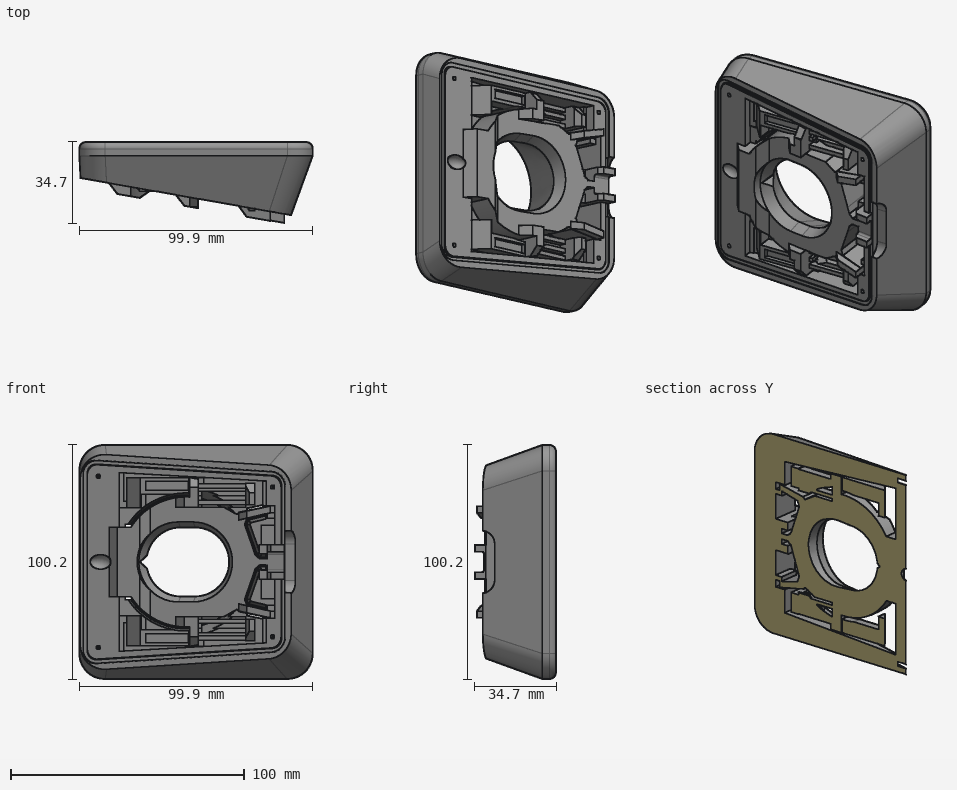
import cadquery as cq
import math

WIDTH = 99.89
HEIGHT = 100.18
TILT = math.radians(10)
SIDE_DRAFT = math.radians(20)
LEFT_DRAFT = math.radians(3)
BACK_FILLET = 3.0
BAND_DEPTH = 5.85
CORNER_RADIUS = 11.0
FACE_MID_Y = -24.2
HOOK_RISE = 4.0
FAR_Y = -45.0
FRONT_CORNER_RADIUS = 9.5

RIM_WIDTH = 2.8
RIM_WIDTH_LEFT = 1.2
GROOVE_WIDTH = 1.8
GROOVE_DEPTH = 0.8
GROOVE_RADIUS = 6.0
GROOVE_RADIUS_LEFT = 6.0

FLOOR_Y = -14.0
POCKET_LEFT = -32.9
POCKET_RIGHT = 30.0
POCKET_TOP_LEFT = 38.2
POCKET_TOP_RIGHT = 34.6
BAY_RIGHT = 33.7
BAY_TOP = 24.0

RING_X = -4.3
RING_RADIUS = 27.9
RING_FLAT = 23.4
RING_FLAT_END = 12.0
BORE_RADIUS = 17.1
BORE_STRAIGHT = 6.4
BORE_LIP_RADIUS = 14.7
BORE_LIP_DEPTH = 5.4
BORE_BACK_RADIUS = 22.0
BORE_X = -4.45
NOTCH_POINT = -24.0
NOTCH_HALF = 3.6
NOTCH_LENGTH = 4.0

SLIT = 0.6
SLIT_FLARE = 6.0

BLOCK_LEFT, BLOCK_TOP_LEFT, BLOCK_TOP_RIGHT, BLOCK_RIGHT = -37.2, -33.6, -24.1, -19.5
BLOCK_HALF = 14.9
ARM_RAMP_LEFT, ARM_RAMP_RIGHT = -8.6, -5.0
ARM_LEFT, ARM_RIGHT = -2.7, 0.9
ARM_END = 36.0
FINGER_RAMP_LEFT, FINGER_RAMP_RIGHT, FINGER_END = 18.2, 21.6, 31.8
NECK_HALF = 1.4

FINGER_LOW, FINGER_TOP = 21.0, 23.9
FINGER_ROOT_LOW, FINGER_ROOT_TOP = 17.9, 21.0

FINGER_OUTLINE = [(17.5, 20.3), (18.5, 21.3), (FINGER_END, FINGER_TOP), (FINGER_END, FINGER_LOW)]
BAY_EDGE = [(21.8, 18.5), (20.9, 16.0), (24.4, 6.0), (25.4, 3.0), (27.3, NECK_HALF)]
FINGER_SLIT = [(21.8, 22.0), (28.6, 23.3), (28.6, 24.3), (21.8, 22.9)]
ARC_SLIT_END, ARC_SLIT_START = -30.2, -27.0
BAY_SLIT_END = 29.8

FORK_LEFT, FORK_TOP_LEFT, FORK_RIGHT = 30.4, 32.0, 37.75
FORK_OUTER_HALF, FORK_INNER_HALF = 7.3, 4.35
FORK_STEP_RISE, FORK_RISE = 1.85, 3.79
FORK_FILLET = 1.0

NOTCH_FLOOR_Y = -26.3
RIM_NOTCH_LEFT = 37.9
RIM_NOTCH_HALF = 13.3
RIM_NOTCH_FILLET = 5.5

DECK_Y = -21.2
DECK_RAMP_LEFT, DECK_RAMP_RIGHT, DECK_RIGHT = -29.6, -23.9, -3.2
DECK_INNER_LEFT = -23.4
DECK_LOW, DECK_MID, DECK_TOP = 23.1, 29.0, 35.9
DECK_CLEARANCE_RADIUS = 29.5
SLOT_LEFT, SLOT_RIGHT, SLOT_LOW, SLOT_TOP = -21.4, -3.4, 30.6, 34.6
SLOT_DEPTH = 2.0
LEDGE_Y = -14.6
LEDGE_WIDTH = 2.0
LEDGE_CORNER = 26.0

RAIL_RIGHT = 21.2
RAIL_BASE_Y = -18.0
CORNER_PAD_RIGHT = 3.4
RAILS = [(24.4, 26.3), (28.4, 30.2), (31.6, 33.4)]
POST_LEFT, POST_TOP_LEFT, POST_RIGHT = 21.2, 22.8, 25.2
POST_LOW, POST_RIDGE, POST_TOP = 24.4, 29.6, 33.6
POST_SHOULDER_Y, POST_TIP_Y = -26.5, -29.4
STEP_LEFT, STEP_Y = 28.6, -25.0
STOP_LEFT, STOP_LOW, STOP_Y = 30.4, 18.6, -27.0
SHELF_LEFT, SHELF_LOW, SHELF_Y = 27.0, 3.4, -24.0
WELL_LEFT, WELL_TOP, WELL_Y = 27.9, 15.7, -8.0

HOLLOW_LEFT, HOLLOW_RADIUS, HOLLOW_Y = 2.5, 31.6, -8.0

HOLES = [(-41.8, 36.6), (32.7, 32.0)]
HOLE_DIAMETER = 1.6
HOLE_DEPTH = 5.0
DIMPLE_X, DIMPLE_HALF_LENGTH, DIMPLE_RADIUS = -40.8, 4.5, 3.1


def face_y(x, rise=0.0):
    """Y of the tilted front face at x, lifted by rise along its normal."""
    return FACE_MID_Y - x * math.tan(TILT) - rise / math.cos(TILT)


def tilted_plane(x):
    """Plane on the front face at x; its normal points out of the face."""
    along = (math.cos(TILT), -math.sin(TILT), 0)
    outward = (-math.sin(TILT), -math.cos(TILT), 0)
    return cq.Workplane(cq.Plane((x, face_y(x), 0), along, outward))


def prism_y(points, y_front, y_back):
    """Polygon in X, Z swept along Y."""
    plane = cq.Workplane("XZ", origin=(0, y_back, 0))
    return plane.polyline(points).close().extrude(y_back - y_front)


def prism_z(points, z_low, z_high):
    """Polygon in X, Y swept along Z."""
    plane = cq.Workplane("XY", origin=(0, 0, z_low))
    return plane.polyline(points).close().extrude(z_high - z_low)


def box(x0, x1, z0, z1, y_front, y_back):
    return prism_y([(x0, z0), (x1, z0), (x1, z1), (x0, z1)], y_front, y_back)


def both_sides(solid):
    """The solid together with its mirror image across Z = 0."""
    return solid.union(solid.mirror("XY"))


def rounded_outline(plane, x0, x1, half_z, r_left, r_right):
    """Closed outline, symmetric in Z, with its own corner radii at each end."""
    k = 1 - math.sqrt(0.5)
    return (
        plane.moveTo(x0 + r_left, -half_z)
        .lineTo(x1 - r_right, -half_z)
        .threePointArc((x1 - k * r_right, -half_z + k * r_right), (x1, -half_z + r_right))
        .lineTo(x1, half_z - r_right)
        .threePointArc((x1 - k * r_right, half_z - k * r_right), (x1 - r_right, half_z))
        .lineTo(x0 + r_left, half_z)
        .threePointArc((x0 + k * r_left, half_z - k * r_left), (x0, half_z - r_left))
        .lineTo(x0, -half_z + r_left)
        .threePointArc((x0 + k * r_left, -half_z + k * r_left), (x0 + r_left, -half_z))
        .close()
    )


def flank_solid(inset, inset_left, r_left, r_back, r_far):
    """Drafted solid between the band and FAR_Y, inset from the flanks; +X radius goes r_back to r_far."""
    depth = -BAND_DEPTH - FAR_Y
    x0 = -WIDTH / 2 + inset_left
    x1 = WIDTH / 2 - inset
    half_z = HEIGHT / 2 - inset
    lean = depth * math.tan(SIDE_DRAFT)
    base = cq.Workplane("XZ", origin=(0, -BAND_DEPTH, 0))
    base = rounded_outline(base, x0, x1, half_z, r_left, r_back)
    far = base.workplane(offset=depth)
    far_x0 = x0 + depth * math.tan(LEFT_DRAFT)
    far = rounded_outline(far, far_x0, x1 - lean, half_z - lean, r_left, r_far)
    return far.loft(ruled=True, combine=True)


def below_face(rise=0.0):
    """Everything behind the front face lifted by rise."""
    x = WIDTH
    points = [(-x, 0), (x, 0), (x, face_y(x, rise)), (-x, face_y(-x, rise))]
    return prism_z(points, -HEIGHT, HEIGHT)


def make_hull():
    band = cq.Workplane("XZ")
    band = rounded_outline(band, -WIDTH / 2, WIDTH / 2, HEIGHT / 2, CORNER_RADIUS, CORNER_RADIUS)
    band = band.extrude(BAND_DEPTH).faces(">Y").edges().fillet(BACK_FILLET)
    flanks = flank_solid(0, 0, CORNER_RADIUS, CORNER_RADIUS, FRONT_CORNER_RADIUS)
    return band.union(flanks.intersect(below_face()))


def make_groove():
    outer = flank_solid(RIM_WIDTH, RIM_WIDTH_LEFT, GROOVE_RADIUS_LEFT, GROOVE_RADIUS, GROOVE_RADIUS)
    inner = flank_solid(
        RIM_WIDTH + GROOVE_WIDTH,
        RIM_WIDTH_LEFT + GROOVE_WIDTH,
        GROOVE_RADIUS_LEFT - GROOVE_WIDTH,
        GROOVE_RADIUS - GROOVE_WIDTH,
        GROOVE_RADIUS - GROOVE_WIDTH,
    )
    return outer.cut(inner).cut(below_face(-GROOVE_DEPTH))


def make_pocket():
    pocket = prism_y(
        [
            (POCKET_LEFT, -POCKET_TOP_LEFT),
            (POCKET_RIGHT, -POCKET_TOP_RIGHT),
            (POCKET_RIGHT, POCKET_TOP_RIGHT),
            (POCKET_LEFT, POCKET_TOP_LEFT),
        ],
        FAR_Y,
        FLOOR_Y,
    )
    return pocket.union(box(0, BAY_RIGHT, -BAY_TOP, BAY_TOP, FAR_Y, FLOOR_Y))


def make_ring():
    """Ring, its left block, arms, fingers and neck, as a prism through the pocket."""
    arc_start_x = RING_X - math.sqrt(RING_RADIUS**2 - BLOCK_HALF**2)
    arc_end_z = math.sqrt(RING_RADIUS**2 - (ARM_LEFT - RING_X) ** 2)
    arc_mid = (RING_X - RING_RADIUS * math.sqrt(0.5), RING_RADIUS * math.sqrt(0.5))
    half = (
        cq.Workplane("XZ")
        .moveTo(BLOCK_LEFT, 0)
        .lineTo(BLOCK_LEFT, BLOCK_HALF)
        .lineTo(arc_start_x, BLOCK_HALF)
        .threePointArc(arc_mid, (ARM_LEFT, arc_end_z))
        .lineTo(ARM_LEFT, ARM_END)
        .lineTo(ARM_RIGHT, ARM_END)
        .lineTo(ARM_RIGHT, RING_FLAT)
        .lineTo(RING_FLAT_END, RING_FLAT)
    )
    for x, z in FINGER_OUTLINE + BAY_EDGE:
        half = half.lineTo(x, z)
    half = half.lineTo(FORK_LEFT, NECK_HALF).lineTo(FORK_LEFT, 0).close()
    return both_sides(half.extrude(-FAR_Y))


def raised_profile(x_foot, x_top, x_top_end, x_end):
    """Ramp up to hook height and back down, bedded in the face and swept along Z."""
    points = [
        (x_foot, face_y(x_foot, -HOOK_RISE)),
        (x_foot, face_y(x_foot)),
        (x_top, face_y(x_top, HOOK_RISE)),
        (x_top_end, face_y(x_top_end, HOOK_RISE)),
        (x_end, face_y(x_end)),
        (x_end, face_y(x_end, -HOOK_RISE)),
    ]
    return prism_z(points, -HEIGHT, HEIGHT)


def make_left_block(ring):
    profile = raised_profile(BLOCK_LEFT, BLOCK_TOP_LEFT, BLOCK_TOP_RIGHT, BLOCK_RIGHT)
    return profile.intersect(ring)


def roof(z_ridge, z_foot, tip):
    """Wedge that trims material sloping at 45 degrees from tip at z_ridge down to z_foot."""
    drop = z_foot - z_ridge
    plane = cq.Workplane("YZ", origin=(-WIDTH, 0, 0))
    points = [(tip, z_ridge), (FAR_Y, z_ridge), (FAR_Y, z_foot), (tip + drop, z_foot)]
    return plane.polyline(points).close().extrude(2 * WIDTH)


def make_arm_hook(ring):
    profile = raised_profile(ARM_RAMP_LEFT, ARM_RAMP_RIGHT, ARM_RIGHT, ARM_RIGHT)
    area = box(ARM_RAMP_LEFT, ARM_RIGHT, RING_FLAT, ARM_END, FAR_Y, FLOOR_Y)
    tip = face_y(ARM_LEFT, HOOK_RISE)
    return profile.intersect(ring).intersect(area).cut(roof(ARM_END - HOOK_RISE, ARM_END, tip))


def make_finger_hook():
    profile = raised_profile(FINGER_RAMP_LEFT, FINGER_RAMP_RIGHT, FINGER_END, FINGER_END)
    band = [
        (FINGER_RAMP_LEFT, FINGER_ROOT_LOW),
        (FINGER_END, FINGER_LOW),
        (FINGER_END, FINGER_TOP),
        (FINGER_RAMP_LEFT, FINGER_ROOT_TOP),
    ]
    return profile.intersect(prism_y(band, FAR_Y, FLOOR_Y))


def make_fork():
    base = box(FORK_LEFT, FORK_RIGHT, -FORK_OUTER_HALF, FORK_OUTER_HALF, FAR_Y, FLOOR_Y)
    prong_points = [
        (FORK_LEFT, FLOOR_Y),
        (FORK_LEFT, face_y(FORK_LEFT, FORK_STEP_RISE)),
        (FORK_TOP_LEFT, face_y(FORK_TOP_LEFT, FORK_RISE)),
        (FORK_RIGHT, face_y(FORK_RIGHT, FORK_RISE)),
        (FORK_RIGHT, FLOOR_Y),
    ]
    fork = base.intersect(prism_z(prong_points, -FORK_OUTER_HALF, FORK_OUTER_HALF))
    gap = tilted_plane(FORK_LEFT).box(
        4 * FORK_RIGHT, 2 * FORK_INNER_HALF, 2 * HOOK_RISE, centered=(True, True, False)
    )
    along = gap.plane.xDir
    return fork.cut(gap.edges(cq.selectors.ParallelDirSelector(along)).fillet(FORK_FILLET))


def make_deck():
    """Ramped deck, slotted, with its L-shaped ledge, on the +Z side."""
    ramp = [
        (DECK_RAMP_LEFT, FLOOR_Y),
        (DECK_RAMP_RIGHT, DECK_Y),
        (DECK_RIGHT, DECK_Y),
        (DECK_RIGHT, FLOOR_Y),
    ]
    deck = prism_z(ramp, DECK_LOW, DECK_TOP)
    deck = deck.cut(box(DECK_INNER_LEFT, DECK_RIGHT, DECK_LOW, DECK_MID, FAR_Y, FLOOR_Y))
    deck = deck.cut(box(SLOT_LEFT, SLOT_RIGHT, SLOT_LOW, SLOT_TOP, FAR_Y, DECK_Y + SLOT_DEPTH))
    ledge_right = POCKET_LEFT + LEDGE_WIDTH
    deck = deck.union(box(POCKET_LEFT, ledge_right, DECK_LOW, POCKET_TOP_LEFT, LEDGE_Y, FLOOR_Y))
    deck = deck.union(box(POCKET_LEFT, DECK_RAMP_LEFT, DECK_LOW, LEDGE_CORNER, LEDGE_Y, FLOOR_Y))
    deck = deck.union(box(DECK_INNER_LEFT, SLOT_LEFT, DECK_LOW, DECK_MID, LEDGE_Y, FLOOR_Y))
    clearance = cq.Workplane("XZ").center(RING_X, 0).circle(DECK_CLEARANCE_RADIUS).extrude(-FAR_Y)
    return deck.cut(clearance)


def make_rails():
    """Rails, post, step, shelf and finger stop on the +Z side of the +X half of the pocket."""
    solid = box(ARM_RIGHT, RAIL_RIGHT, RING_FLAT, RAILS[-1][1], RAIL_BASE_Y, FLOOR_Y)
    solid = solid.union(box(ARM_RIGHT, CORNER_PAD_RIGHT, RING_FLAT, ARM_END, RAIL_BASE_Y, FLOOR_Y))
    solid = solid.union(box(STEP_LEFT, POCKET_RIGHT, BAY_TOP, POCKET_TOP_RIGHT, STEP_Y, FLOOR_Y))
    for z_low, z_high in RAILS:
        solid = solid.union(box(ARM_RIGHT, RAIL_RIGHT, z_low, z_high, DECK_Y, FLOOR_Y))
    post_points = [
        (POST_LEFT, FLOOR_Y),
        (POST_LEFT, POST_SHOULDER_Y),
        (POST_TOP_LEFT, POST_TIP_Y),
        (POST_RIGHT, POST_TIP_Y),
        (POST_RIGHT, FLOOR_Y),
    ]
    post = prism_z(post_points, POST_LOW, POST_TOP).cut(roof(POST_RIDGE, POST_TOP, POST_TIP_Y))
    shelf = box(SHELF_LEFT, FORK_LEFT, SHELF_LOW, FORK_OUTER_HALF, SHELF_Y, FLOOR_Y)
    stop = box(STOP_LEFT, BAY_RIGHT, STOP_LOW, FINGER_LOW, STOP_Y, FLOOR_Y)
    return solid.union(post).union(shelf).union(stop)


def ring_cone(y_back, r_back, y_front, r_front):
    """Cone about the ring centre, widening toward the front."""
    cone = cq.Workplane("XZ", origin=(RING_X, y_back, 0)).circle(r_back)
    return cone.workplane(offset=y_back - y_front).circle(r_front).loft(combine=True)


def make_arc_slit(ring):
    """Slit through the part around the -X side of the ring."""
    cone = ring_cone(0, RING_RADIUS + SLIT, FLOOR_Y, DECK_CLEARANCE_RADIUS)
    span = box(RING_X - RING_RADIUS, ARM_LEFT, BLOCK_HALF, DECK_CLEARANCE_RADIUS, FLOOR_Y, 0)
    end = box(ARC_SLIT_END, ARC_SLIT_START, BLOCK_HALF, BLOCK_HALF + 2 * SLIT, FLOOR_Y, 0)
    return cone.intersect(span).union(end).cut(ring)


def make_hollow(ring):
    """Blind conical hollow around the +X side of the ring, bridged by the lowest rail."""
    cone = ring_cone(HOLLOW_Y, RING_RADIUS, DECK_Y, HOLLOW_RADIUS)
    bridge_low, bridge_top = RAILS[0]
    outer = box(HOLLOW_LEFT, FINGER_RAMP_LEFT, bridge_top, HOLLOW_RADIUS, DECK_Y, HOLLOW_Y)
    inner = box(HOLLOW_LEFT, FINGER_RAMP_LEFT, FINGER_ROOT_TOP, bridge_low, DECK_Y, HOLLOW_Y)
    return cone.intersect(outer.union(inner)).cut(ring)


def make_bay_slits(ring):
    """Slits along the ring's +X edge and above the finger, widening toward the front."""
    far_x = 2 * BAY_RIGHT
    outline = [(far_x, FINGER_LOW), (FINGER_END, FINGER_LOW)] + BAY_EDGE + [(far_x, NECK_HALF)]
    bay = prism_y(outline, FLOOR_Y, 0)
    island = cq.Workplane("XZ").polyline(outline).close().offset2D(-SLIT)
    island = island.extrude(-FLOOR_Y, taper=SLIT_FLARE)
    slit = bay.cut(island).intersect(box(0, BAY_SLIT_END, 0, BAY_TOP, FLOOR_Y, 0))
    return slit.union(prism_y(FINGER_SLIT, FLOOR_Y, 0)).cut(ring)


def obround(plane, radius):
    """Obround wire along the local X of plane."""
    return plane.slot2D(2 * radius + BORE_STRAIGHT, 2 * radius).val()


def make_bore():
    """Tilted mouth narrowing to a lip, then flaring to the back, with a V notch on the -X side."""
    mouth_plane = tilted_plane(BORE_X)
    above = mouth_plane.slot2D(2 * BORE_RADIUS + BORE_STRAIGHT, 2 * BORE_RADIUS).extrude(2 * HOOK_RISE)
    lip_plane = mouth_plane.workplane(offset=-BORE_LIP_DEPTH)
    back_x = BORE_X + BORE_LIP_DEPTH * math.sin(TILT)
    back_plane = cq.Workplane("XZ", origin=(back_x, 0, 0))
    lip = obround(lip_plane, BORE_LIP_RADIUS)
    mouth = cq.Solid.makeLoft([obround(mouth_plane, BORE_RADIUS), lip], True)
    flare = cq.Solid.makeLoft([lip, obround(back_plane, BORE_BACK_RADIUS)], True)
    notch_base = NOTCH_POINT + NOTCH_LENGTH
    notch = prism_y([(NOTCH_POINT, 0), (notch_base, NOTCH_HALF), (notch_base, -NOTCH_HALF)], FAR_Y, 0)
    return above.union(cq.Workplane(mouth)).union(cq.Workplane(flare)).union(notch)


def make_well():
    """Deeper rectangular well in the floor of the +Z bay."""
    return box(WELL_LEFT, BAY_RIGHT, FORK_OUTER_HALF, WELL_TOP, FLOOR_Y, WELL_Y)


def make_rim_notch():
    notch = box(RIM_NOTCH_LEFT, WIDTH, -RIM_NOTCH_HALF, RIM_NOTCH_HALF, FAR_Y, NOTCH_FLOOR_Y)
    return notch.edges(">Y and |X").fillet(RIM_NOTCH_FILLET)


def make_screw_hole(x, z):
    hole = tilted_plane(x).center(0, z).circle(HOLE_DIAMETER / 2)
    return hole.extrude(-HOLE_DEPTH)


def make_dimple():
    profile = (
        tilted_plane(DIMPLE_X)
        .ellipseArc(DIMPLE_HALF_LENGTH, DIMPLE_RADIUS, 0, 180, startAtCurrent=False)
        .close()
    )
    return profile.revolve(360, (-DIMPLE_HALF_LENGTH, 0), (DIMPLE_HALF_LENGTH, 0))


ring = make_ring()
result = make_hull().cut(make_groove()).cut(make_pocket().cut(ring)).cut(make_rim_notch())
result = result.union(make_left_block(ring))
for feature in (make_arm_hook(ring), make_finger_hook(), make_deck(), make_rails()):
    result = result.union(both_sides(feature))
result = result.union(make_fork())
result = result.cut(both_sides(make_arc_slit(ring))).cut(both_sides(make_bay_slits(ring)))
result = result.cut(both_sides(make_hollow(ring))).cut(both_sides(make_well()))
result = result.cut(make_bore()).cut(make_dimple())
for x, z in HOLES:
    result = result.cut(both_sides(make_screw_hole(x, z)))